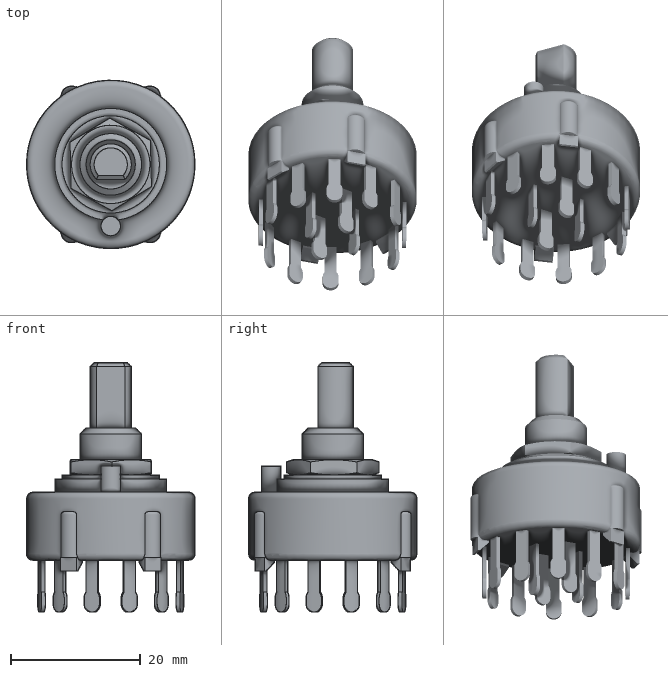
import cadquery as cq
import math


body_diameter = 26.0
body_height = 10.5
body_fillet = 1.0

flange_diameter = 17.3
flange_height = 2.0
washer_diameter = 15.0
washer_thickness = 0.6
nut_across_flats = 12.4
nut_height = 2.43
nut_turn = 1.3
nut_face_diameter = 12.1
nut_chamfer_height = 0.4
bushing_diameter = 9.5
bushing_chamfer = 0.95
bushing_above_nut = 4.9
shaft_diameter = 6.35
shaft_flat_offset = 2.3
shaft_chamfer = 0.6
locating_pin_diameter = 3.0
locating_pin_height = 4.0
locating_pin_offset = 9.5

outer_terminal_count = 12
inner_terminal_count = 4
terminal_length = 8.0
terminal_thickness = 0.6
outer_ring_offset = 11.35
inner_ring_offset = 4.25
stem_width = 1.85
head_width = 2.43
head_length = 3.5
terminal_embed = 0.4

clip_angles = (60, 120, 240, 300)
clip_radius = 1.6
clip_axis_offset = 12.1
clip_bottom = 0.45
clip_top = 7.5
clip_fillet = 0.5
foot_width = 2.9
foot_outer_offset = 13.0
foot_drop = 1.65
foot_tip_depth = 0.35
foot_root_depth = 1.77
foot_straight_drop = 0.35

total_height = 38.5
shaft_top = total_height - terminal_length
flange_top = body_height + flange_height
washer_top = flange_top + washer_thickness
nut_top = washer_top + nut_height
bushing_top = nut_top + bushing_above_nut


def cylinder(diameter, bottom, top):
    return cq.Workplane("XY").workplane(offset=bottom).circle(diameter / 2).extrude(top - bottom)


def make_body():
    body = cylinder(body_diameter, 0, body_height)
    return body.edges().fillet(body_fillet)


def make_nut():
    """Hexagon nut with two corners near the Y axis, its corners cut back by a cone at both ends."""
    across_corners = nut_across_flats / math.cos(math.pi / 6)
    hexagon = (
        cq.Workplane("XY")
        .workplane(offset=washer_top)
        .polygon(6, across_corners)
        .extrude(nut_height)
        .rotate((0, 0, 0), (0, 0, 1), 30 + nut_turn)
    )
    face_radius = nut_face_diameter / 2
    corner_radius = across_corners / 2
    envelope = (
        cq.Workplane("XZ")
        .moveTo(0, washer_top)
        .lineTo(face_radius, washer_top)
        .lineTo(corner_radius, washer_top + nut_chamfer_height)
        .lineTo(corner_radius, nut_top - nut_chamfer_height)
        .lineTo(face_radius, nut_top)
        .lineTo(0, nut_top)
        .close()
        .revolve(360, (0, 0), (0, 1))
    )
    return hexagon.intersect(envelope)


def make_bushing():
    bushing = cylinder(bushing_diameter, flange_top, bushing_top)
    return bushing.faces(">Z").chamfer(bushing_chamfer)


def make_shaft():
    """Round shaft with one flat on the -Y side and a chamfered tip."""
    length = shaft_top - bushing_top
    flat_cut = (
        cq.Workplane("XY")
        .workplane(offset=bushing_top)
        .center(0, -shaft_flat_offset - shaft_diameter / 2)
        .rect(shaft_diameter, shaft_diameter)
        .extrude(length)
    )
    shaft = cylinder(shaft_diameter, bushing_top, shaft_top).cut(flat_cut)
    return shaft.faces(">Z").chamfer(shaft_chamfer)


def make_locating_pin():
    pin = cylinder(locating_pin_diameter, 0, locating_pin_height)
    return pin.translate((0, -locating_pin_offset, body_height))


def make_terminal(outer_offset):
    """Flat terminal facing +X, a narrow stem ending in a round-ended head."""
    head_middle = -terminal_length + head_length / 2
    stem_length = terminal_embed - head_middle
    face_plane = cq.Workplane("YZ", origin=(outer_offset - terminal_thickness, 0, head_middle))
    head = face_plane.slot2D(head_length, head_width, 90).extrude(terminal_thickness)
    stem = face_plane.center(0, stem_length / 2).rect(stem_width, stem_length).extrude(terminal_thickness)
    return head.union(stem)


def make_clip():
    """Rounded rib facing +X on the side wall, with a tapered foot below it."""
    rib = cylinder(2 * clip_radius, clip_bottom, clip_top)
    rib = rib.faces(">Z").edges().fillet(clip_fillet).translate((clip_axis_offset, 0, 0))
    tip = foot_outer_offset - foot_tip_depth
    root = foot_outer_offset - foot_root_depth
    foot = (
        cq.Workplane("XZ")
        .moveTo(foot_outer_offset, clip_bottom)
        .lineTo(foot_outer_offset, -foot_drop)
        .lineTo(tip, -foot_drop)
        .lineTo(root, -foot_straight_drop)
        .lineTo(root, clip_bottom)
        .close()
        .extrude(foot_width / 2, both=True)
    )
    return rib.union(foot)


def turned(shape, angle):
    return shape.rotate((0, 0, 0), (0, 0, 1), angle)


result = make_body()
result = result.union(cylinder(flange_diameter, body_height, flange_top))
result = result.union(cylinder(washer_diameter, flange_top, washer_top))
result = result.union(make_bushing())
result = result.union(make_nut())
result = result.union(make_shaft())
result = result.union(make_locating_pin())

terminal_rings = (
    (outer_terminal_count, outer_ring_offset),
    (inner_terminal_count, inner_ring_offset),
)
for count, ring_offset in terminal_rings:
    terminal = make_terminal(ring_offset)
    terminal_pitch = 360 / count
    for index in range(count):
        result = result.union(turned(terminal, (index + 0.5) * terminal_pitch))

clip = make_clip()
for clip_angle in clip_angles:
    result = result.union(turned(clip, clip_angle))